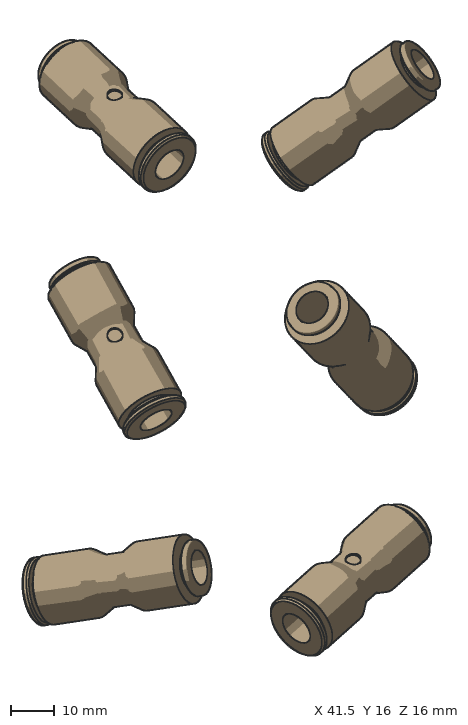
import cadquery as cq


body_length = 35.75
body_radius = 8.0
waist_centre = 0.15
waist_radius = 6.1
waist_span = 5.0
shoulder_span = 11.95
blend_radius = 1.25

small_overhang = 2.65
small_neck_radius = 4.6
small_flange_radius = 6.5
small_flange_width = 1.55
small_face_rounding = 0.3
small_back_chamfer = 0.3

overall_length = 41.46
large_overhang = overall_length - body_length - small_overhang
large_neck_radius = 5.6
large_flange_radius = 7.85
large_flange_width = 1.7
large_chamfer = 0.45

bore_diameter = 8.0

recess_diameter = 3.5
recess_depth = 0.6

ring_tolerance = 0.1


def corner_ring(position):
    """Select the circular edge lying at one axial position."""
    reach = 2 * body_radius
    return cq.selectors.BoxSelector(
        (position - ring_tolerance, -reach, -reach),
        (position + ring_tolerance, reach, reach),
        boundingbox=True,
    )


def make_body():
    end = body_length / 2
    shoulder_left = waist_centre - shoulder_span / 2
    shoulder_right = waist_centre + shoulder_span / 2
    waist_left = waist_centre - waist_span / 2
    waist_right = waist_centre + waist_span / 2
    profile = (
        cq.Workplane("XY")
        .moveTo(-end, 0)
        .lineTo(-end, body_radius)
        .lineTo(shoulder_left, body_radius)
        .lineTo(waist_left, waist_radius)
        .lineTo(waist_right, waist_radius)
        .lineTo(shoulder_right, body_radius)
        .lineTo(end, body_radius)
        .lineTo(end, 0)
        .close()
    )
    body = profile.revolve(360, (0, 0, 0), (1, 0, 0))
    for position in (shoulder_left, waist_left, waist_right, shoulder_right):
        body = body.edges(corner_ring(position)).fillet(blend_radius)
    return body


def make_neck(side, overhang, radius):
    return cq.Workplane("YZ").workplane(offset=side * body_length / 2).circle(radius).extrude(side * overhang)


def make_flange(side, overhang, radius, width):
    back = side * (body_length / 2 + overhang - width)
    return cq.Workplane("YZ").workplane(offset=back).circle(radius).extrude(side * width)


def make_small_collar():
    neck = make_neck(-1, small_overhang, small_neck_radius)
    flange = make_flange(-1, small_overhang, small_flange_radius, small_flange_width)
    flange = flange.faces("<X").edges().fillet(small_face_rounding)
    flange = flange.faces(">X").edges().chamfer(small_back_chamfer)
    return neck.union(flange)


def make_large_collar():
    neck = make_neck(1, large_overhang, large_neck_radius)
    flange = make_flange(1, large_overhang, large_flange_radius, large_flange_width)
    flange = flange.faces("<X or >X").edges().chamfer(large_chamfer)
    return neck.union(flange)


def make_bore():
    cutter = cq.Workplane("YZ").circle(bore_diameter / 2)
    return cutter.extrude(overall_length, both=True)


def make_recess():
    floor = cq.Workplane("XY").workplane(offset=waist_radius - recess_depth)
    return floor.center(waist_centre, 0).circle(recess_diameter / 2).extrude(body_radius)


solid_part = make_body().union(make_small_collar()).union(make_large_collar())
result = solid_part.cut(make_bore()).cut(make_recess())